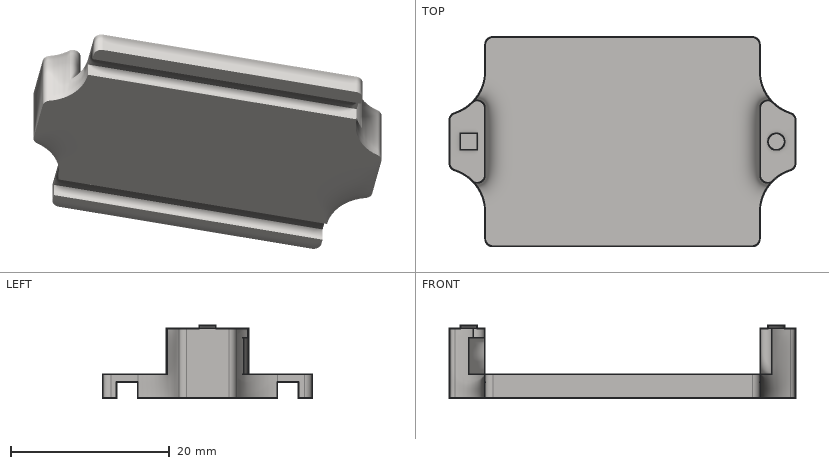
import cadquery as cq
import math

length = 43.7
plate_length = 34.7
plate_width = 26.45
plate_height = 3.0
corner_radius = 1.0

blend_radius = 5.45
blend_start = 8.85
lug_radius = 0.95

pin_size = 2.1
pin_height = 0.4
pin_offset = 19.4

height = 9.2
post_top = height - pin_height
post_width = 10.4
post_radius = 1.0

relief_roof = 1.2

channel_wall = 1.75
channel_depth = 2.0

half_length = length / 2
half_plate = plate_length / 2
half_width = plate_width / 2

blend_centre = (half_plate + blend_radius, blend_start)
tip_x = half_length - lug_radius
tip_y = blend_start - math.sqrt((blend_radius + lug_radius) ** 2 - (blend_centre[0] - tip_x) ** 2)
tip_centre = (tip_x, tip_y)
post_centre = (half_plate + post_radius, post_width / 2 - post_radius)


def point_on_circle(centre, radius, angle):
    return (centre[0] + radius * math.cos(angle), centre[1] + radius * math.sin(angle))


def angle_from(start, end):
    return math.atan2(end[1] - start[1], end[0] - start[0])


def start_quarter_outline(touch_angle):
    """Outline from the centre plane round the lug corner to the blend arc."""
    return (
        cq.Workplane("XY")
        .moveTo(half_plate, 0)
        .lineTo(half_length, 0)
        .lineTo(half_length, tip_y)
        .threePointArc(
            point_on_circle(tip_centre, lug_radius, touch_angle / 2),
            point_on_circle(tip_centre, lug_radius, touch_angle),
        )
    )


def make_end():
    """+X lug at plate height with its full-height post."""
    touch_angle = angle_from(tip_centre, blend_centre)
    blend_end_angle = touch_angle + math.pi

    half_lug = (
        start_quarter_outline(touch_angle)
        .threePointArc(
            point_on_circle(blend_centre, blend_radius, (blend_end_angle + math.pi) / 2),
            (half_plate, blend_start),
        )
        .close()
        .extrude(plate_height)
    )

    spacing = math.dist(post_centre, blend_centre)
    centre_angle = angle_from(post_centre, blend_centre)
    crossing_cosine = (spacing**2 + post_radius**2 - blend_radius**2) / (2 * spacing * post_radius)
    seam_angle = centre_angle + math.acos(crossing_cosine)
    seam = point_on_circle(post_centre, post_radius, seam_angle)
    blend_seam_angle = angle_from(seam, blend_centre) + math.pi

    half_post = (
        start_quarter_outline(touch_angle)
        .threePointArc(
            point_on_circle(blend_centre, blend_radius, (blend_end_angle + blend_seam_angle) / 2),
            seam,
        )
        .threePointArc(
            point_on_circle(post_centre, post_radius, (seam_angle + math.pi) / 2),
            (half_plate, post_centre[1]),
        )
        .close()
        .extrude(post_top)
    )
    half_end = half_lug.union(half_post)
    return half_end.union(half_end.mirror("XZ"))


def make_relief():
    """Block cut from the -X post, open towards the plate and -Y."""
    relief_height = post_top - relief_roof - plate_height
    relief_length = pin_offset - half_plate
    return (
        cq.Workplane("XY")
        .box(relief_length, half_width, relief_height, centered=(False, False, False))
        .translate((-pin_offset, -half_width, plate_height))
    )


def make_channel():
    """+Y channel, open at both ends of the plate."""
    channel_width = half_width - channel_wall - blend_start
    return (
        cq.Workplane("XY")
        .box(plate_length, channel_width, channel_depth, centered=(True, False, False))
        .translate((0, blend_start, 0))
    )


plate = (
    cq.Workplane("XY")
    .box(plate_length, plate_width, plate_height, centered=(True, True, False))
    .edges("|Z")
    .fillet(corner_radius)
)
round_end = make_end()
square_end = round_end.mirror("YZ").cut(make_relief())

post_tops = cq.Workplane("XY").workplane(offset=post_top)
square_pin = post_tops.center(-pin_offset, 0).rect(pin_size, pin_size).extrude(pin_height)
round_pin = post_tops.center(pin_offset, 0).circle(pin_size / 2).extrude(pin_height)

channel = make_channel()
result = (
    plate.union(round_end)
    .union(square_end)
    .union(square_pin)
    .union(round_pin)
    .cut(channel)
    .cut(channel.mirror("XZ"))
)